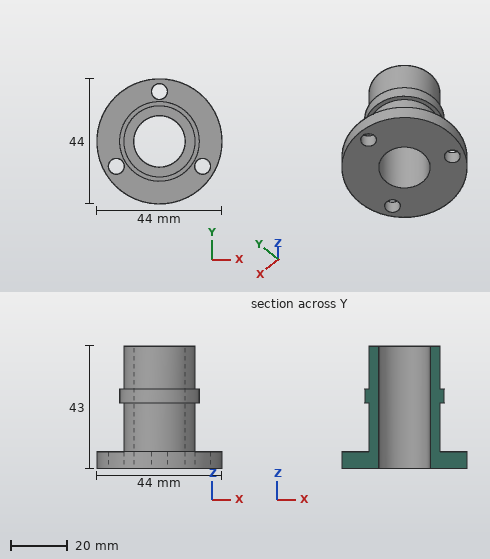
import cadquery as cq

flange_diameter = 44.0
flange_thickness = 6.0

total_height = 43.0
tube_diameter = 25.0
bore_diameter = 18.0
collar_diameter = 28.0
collar_bottom = 23.0
collar_height = 4.95

hole_count = 3
hole_diameter = 5.5
hole_circle_diameter = 35.0
first_hole_angle = 90


def cylinder(diameter, height, bottom=0):
    """Upright cylinder on the Z axis, starting at the given height."""
    return cq.Workplane("XY").workplane(offset=bottom).circle(diameter / 2).extrude(height)


def mounting_holes():
    """Cutters for the evenly spaced through holes in the flange."""
    return (
        cq.Workplane("XY")
        .polarArray(hole_circle_diameter / 2, first_hole_angle, 360, hole_count)
        .circle(hole_diameter / 2)
        .extrude(flange_thickness)
    )


flange = cylinder(flange_diameter, flange_thickness)
tube = cylinder(tube_diameter, total_height)
collar = cylinder(collar_diameter, collar_height, collar_bottom)
bore = cylinder(bore_diameter, total_height)

result = flange.union(tube).union(collar).cut(bore).cut(mounting_holes())